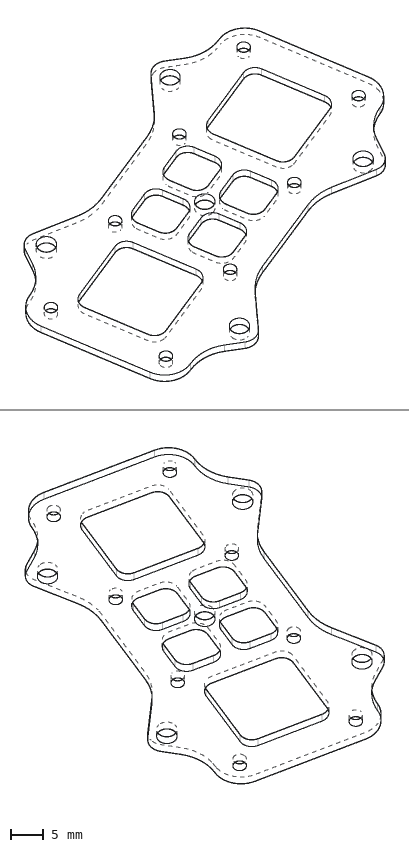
import cadquery as cq
import math

thickness = 1.5
body_width = 28.03
body_length = 68.03
body_corner_radius = 4.5

overall_width = 40.08
ear_tip_radius = 2.5
ear_tip_center_y = 19.75
ear_outer_angle = 40.0
ear_inner_angle = 57.0
ear_outer_blend_radius = 7.5
ear_inner_blend_radius = 8.8

small_hole_diameter = 2.05
small_hole_spacing = 20.0
small_hole_columns = 2
small_hole_rows = 4
large_hole_diameter = 3.1
ear_hole_x = 16.8
ear_hole_y = 19.25

large_window_size = 15.0
large_window_radius = 2.0
large_window_y = 20.0
small_window_size = 7.6
small_window_radius = 2.0
small_window_offset = 4.92

half_width = body_width / 2
half_length = body_length / 2


def ear_corners():
    """Sharp corners of the +X +Y ear: outer root, tip and inner root."""
    outer = math.radians(ear_outer_angle)
    inner = math.radians(ear_inner_angle)
    center_x = overall_width / 2 - ear_tip_radius
    tip_distance = ear_tip_radius / math.sin((outer + inner) / 2)
    tip_direction = (inner - outer) / 2
    tip_x = center_x + tip_distance * math.cos(tip_direction)
    tip_y = ear_tip_center_y + tip_distance * math.sin(tip_direction)
    reach = tip_x - half_width
    outer_root = (half_width, tip_y + reach * math.tan(outer))
    inner_root = (half_width, tip_y - reach * math.tan(inner))
    return outer_root, (tip_x, tip_y), inner_root


def mirrored(points):
    """Repeat the given +X +Y points in all four quadrants."""
    return [(sx * x, sy * y) for x, y in points for sx in (-1, 1) for sy in (-1, 1)]


def round_corners(plate, corners, radius):
    """Fillet the vertical edges at the given corners and their mirror images."""
    mid_z = thickness / 2
    edges = cq.Workplane("XY")
    for x, y in mirrored(corners):
        edge = plate.edges(cq.selectors.NearestToPointSelector((x, y, mid_z)))
        edges = edges.add(edge)
    return plate.newObject(edges.vals()).fillet(radius)


def make_plate():
    """Body with four ears and all outline corners rounded."""
    outer_root, tip, inner_root = ear_corners()
    body_corner = (half_width, half_length)
    upper_right = [body_corner, outer_root, tip, inner_root]
    lower_right = [(x, -y) for x, y in reversed(upper_right)]
    right_side = upper_right + lower_right
    left_side = [(-x, y) for x, y in reversed(right_side)]
    plate = cq.Workplane("XY").polyline(right_side + left_side).close().extrude(thickness)
    plate = round_corners(plate, [tip], ear_tip_radius)
    plate = round_corners(plate, [outer_root], ear_outer_blend_radius)
    plate = round_corners(plate, [inner_root], ear_inner_blend_radius)
    return round_corners(plate, [body_corner], body_corner_radius)


def square_windows(centers, size, corner_radius):
    """Cutters for rounded square windows."""
    blanks = cq.Workplane("XY").pushPoints(centers).rect(size, size).extrude(thickness)
    return blanks.edges("|Z").fillet(corner_radius)


def round_holes(centers, diameter):
    """Cutters for through holes."""
    return cq.Workplane("XY").pushPoints(centers).circle(diameter / 2).extrude(thickness)


small_hole_centers = [
    (
        (column - (small_hole_columns - 1) / 2) * small_hole_spacing,
        (row - (small_hole_rows - 1) / 2) * small_hole_spacing,
    )
    for column in range(small_hole_columns)
    for row in range(small_hole_rows)
]
large_hole_centers = [(0, 0)] + mirrored([(ear_hole_x, ear_hole_y)])
large_window_centers = [(0, large_window_y), (0, -large_window_y)]
small_window_centers = mirrored([(small_window_offset, small_window_offset)])

result = (
    make_plate()
    .cut(square_windows(large_window_centers, large_window_size, large_window_radius))
    .cut(square_windows(small_window_centers, small_window_size, small_window_radius))
    .cut(round_holes(small_hole_centers, small_hole_diameter))
    .cut(round_holes(large_hole_centers, large_hole_diameter))
)